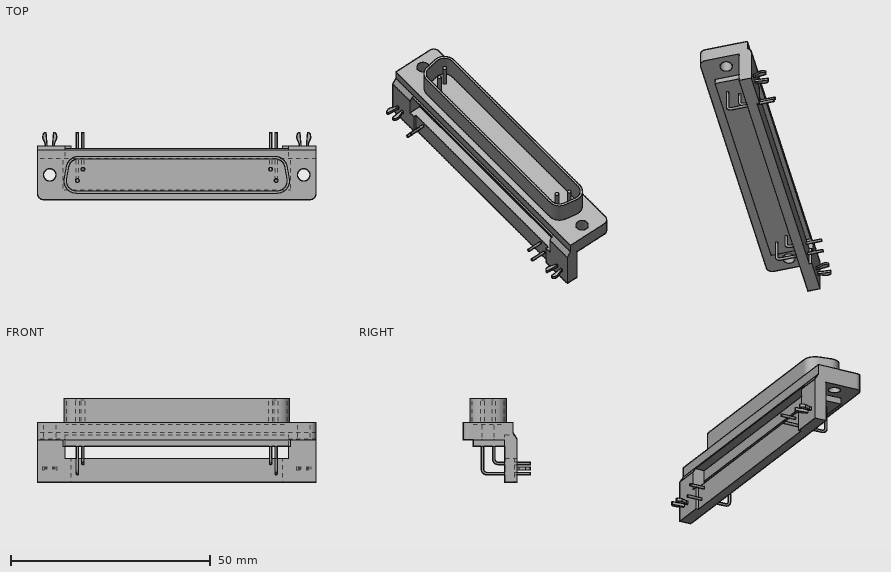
import cadquery as cq
import math


LENGTH = 69.7
FLANGE_DEPTH = 12.5
FLANGE_THICKNESS = 4.4
CORNER_RADIUS = 1.6
MOUNT_PITCH = 63.5
MOUNT_HOLE_DIAMETER = 3.05

WALL_BOTTOM = -15.0
WALL_THICKNESS = 3.15
WALL_OVERHANG = 1.0
SLOPE_TOP = -2.6
SLOPE_BOTTOM = -4.2
WINDOW_WIDTH = 55.8
WINDOW_BOTTOM = -9.0
RECESS_WIDTH = 52.8
RECESS_DEPTH = 0.65

BLOCK_WIDTH = 56.8
BLOCK_FRONT = -3.75
BLOCK_THICKNESS = 1.65

SHELL_HEIGHT = 6.0
SHELL_WIDTH = 56.4
SHELL_DEPTH = 9.2
SHELL_WALL = 0.6
SHELL_RADIUS = 3.1
SHELL_SIDE_ANGLE = 10.0
SHELL_FLOOR = -0.5

CONTACT_PITCH = 2.76
ROW_SPACING = 2.84
FRONT_ROW_COUNT = 19
REAR_ROW_COUNT = 18
CONTACT_DIAMETER = 0.95
CONTACT_TOP = 5.6
TAIL_DIAMETER = 0.65
TAIL_END_Y = 10.55
TAIL_BEND_RADIUS = 1.1
REAR_ROW_TAIL_Z = -10.3
TAIL_ROW_SPACING = 2.54

PRONG_THICKNESS = 0.8
PRONG_BASE_INNER = 0.63
PRONG_BASE_OUTER = 1.15
PRONG_TIP_INNER = 0.92
PRONG_TIP_OUTER = 1.37
PRONG_BARB = 1.8
PRONG_STEM_LENGTH = 0.45
PRONG_BARB_LENGTH = 1.25
PRONG_SHOULDER = 1.73
PRONG_SHOULDER_LENGTH = 0.65
PRONG_TIP_BULGE = 0.05

FLANGE_FRONT = -FLANGE_DEPTH / 2
FLANGE_BACK = FLANGE_DEPTH / 2
FLANGE_BOTTOM = -FLANGE_THICKNESS
WALL_BACK = FLANGE_BACK + WALL_OVERHANG
WALL_FRONT = WALL_BACK - WALL_THICKNESS
RECESS_BACK = WALL_BACK - RECESS_DEPTH
BLOCK_BOTTOM = FLANGE_BOTTOM - BLOCK_THICKNESS
SLOPE_FRACTION = (RECESS_BACK - FLANGE_BACK) / WALL_OVERHANG
WINDOW_TOP = SLOPE_TOP + (SLOPE_BOTTOM - SLOPE_TOP) * SLOPE_FRACTION


def box(width, front, back, bottom, top):
    """Box centred on X = 0 between the given Y and Z limits."""
    corner = cq.Vector(-width / 2, front, bottom)
    return cq.Workplane(cq.Solid.makeBox(width, back - front, top - bottom, corner))


def cylinder(x, y, diameter, bottom, top):
    """Vertical cylinder between two heights."""
    return cq.Workplane(cq.Solid.makeCylinder(diameter / 2, top - bottom, cq.Vector(x, y, bottom)))


def make_body():
    """L-shaped flange and wall, with a slope down the back of the step between them."""
    profile = [
        (FLANGE_FRONT, 0),
        (FLANGE_BACK, 0),
        (FLANGE_BACK, SLOPE_TOP),
        (WALL_BACK, SLOPE_BOTTOM),
        (WALL_BACK, WALL_BOTTOM),
        (WALL_FRONT, WALL_BOTTOM),
        (WALL_FRONT, FLANGE_BOTTOM),
        (FLANGE_FRONT, FLANGE_BOTTOM),
    ]
    body = cq.Workplane("YZ").polyline(profile).close().extrude(LENGTH / 2, both=True)
    return body.edges("|Z and <Y").fillet(CORNER_RADIUS)


def cut_wall(body):
    """Window through the wall, and a shallow recess down its back face."""
    window = box(WINDOW_WIDTH, WALL_FRONT, WALL_BACK, WINDOW_BOTTOM, WINDOW_TOP)
    recess = box(RECESS_WIDTH, RECESS_BACK, WALL_BACK, WALL_BOTTOM, WINDOW_TOP)
    return body.cut(window).cut(recess)


def d_prism(inset, bottom, top):
    """Rounded trapezoid prism, wider at the front, offset inwards by the inset."""
    angle = math.radians(SHELL_SIDE_ANGLE)
    radius = SHELL_RADIUS - inset
    half_depth = SHELL_DEPTH / 2 - inset
    corner_setback = radius / math.tan((math.pi / 2 - angle) / 2)
    front_half = SHELL_WIDTH / 2 - SHELL_RADIUS + corner_setback
    rear_half = front_half - 2 * half_depth * math.tan(angle)
    outline = [
        (-front_half, -half_depth),
        (front_half, -half_depth),
        (rear_half, half_depth),
        (-rear_half, half_depth),
    ]
    prism = cq.Workplane("XY").workplane(offset=bottom).polyline(outline).close().extrude(top - bottom)
    return prism.edges("|Z").fillet(radius)


def make_contact(x, y, tail_z):
    """Straight mating pin with a thinner tail bent back through the wall."""
    pin = cylinder(x, y, CONTACT_DIAMETER, SHELL_FLOOR, CONTACT_TOP)
    bend_mid = TAIL_BEND_RADIUS * (1 - math.sqrt(0.5))
    path = (
        cq.Workplane("YZ", origin=(x, 0, 0))
        .moveTo(y, BLOCK_BOTTOM)
        .lineTo(y, tail_z + TAIL_BEND_RADIUS)
        .threePointArc((y + bend_mid, tail_z + bend_mid), (y + TAIL_BEND_RADIUS, tail_z))
        .lineTo(TAIL_END_Y, tail_z)
    )
    tail = cq.Workplane("XY", origin=(x, y, BLOCK_BOTTOM)).circle(TAIL_DIAMETER / 2).sweep(path)
    return pin, tail


def make_prong(axis_x, side, mid_z):
    """Barbed prong of a board lock; side is -1 or +1 about the mounting-hole axis."""
    stem_y = WALL_BACK + PRONG_STEM_LENGTH
    barb_y = TAIL_END_Y - PRONG_BARB_LENGTH
    shoulder_y = TAIL_END_Y - PRONG_SHOULDER_LENGTH
    bulge = (
        (PRONG_SHOULDER + PRONG_TIP_OUTER) / 2 + PRONG_TIP_BULGE,
        (shoulder_y + TAIL_END_Y) / 2 + PRONG_TIP_BULGE,
    )

    def place(distance, y):
        return (axis_x + side * distance, y)

    return (
        cq.Workplane("XY", origin=(0, 0, mid_z))
        .moveTo(*place(PRONG_BASE_INNER, WALL_BACK))
        .lineTo(*place(PRONG_BASE_OUTER, WALL_BACK))
        .lineTo(*place(PRONG_BASE_OUTER, stem_y))
        .lineTo(*place(PRONG_BARB, barb_y))
        .lineTo(*place(PRONG_SHOULDER, shoulder_y))
        .threePointArc(place(*bulge), place(PRONG_TIP_OUTER, TAIL_END_Y))
        .lineTo(*place(PRONG_TIP_INNER, TAIL_END_Y))
        .close()
        .extrude(PRONG_THICKNESS / 2, both=True)
    )


def add_contacts(body):
    """End contacts of both rows, at the left and right."""
    front_x = (FRONT_ROW_COUNT - 1) * CONTACT_PITCH / 2
    rear_x = (REAR_ROW_COUNT - 1) * CONTACT_PITCH / 2
    front_row = (front_x, -ROW_SPACING / 2, REAR_ROW_TAIL_Z - TAIL_ROW_SPACING)
    rear_row = (rear_x, ROW_SPACING / 2, REAR_ROW_TAIL_Z)
    for x, y, tail_z in (front_row, rear_row):
        for side in (-1, 1):
            for piece in make_contact(side * x, y, tail_z):
                body = body.union(piece)
    return body


def add_mountings(body):
    """Mounting holes through the flange and a pair of board-lock prongs behind each."""
    mid_z = REAR_ROW_TAIL_Z - TAIL_ROW_SPACING / 2
    for end in (-1, 1):
        axis_x = end * MOUNT_PITCH / 2
        body = body.cut(cylinder(axis_x, 0, MOUNT_HOLE_DIAMETER, FLANGE_BOTTOM, 0))
        for side in (-1, 1):
            body = body.union(make_prong(axis_x, side, mid_z))
    return body


result = cut_wall(make_body())
result = result.union(box(BLOCK_WIDTH, BLOCK_FRONT, WALL_FRONT, BLOCK_BOTTOM, FLANGE_BOTTOM))
result = result.union(d_prism(0, 0, SHELL_HEIGHT))
result = result.cut(d_prism(SHELL_WALL, SHELL_FLOOR, SHELL_HEIGHT))
result = add_contacts(result)
result = add_mountings(result)